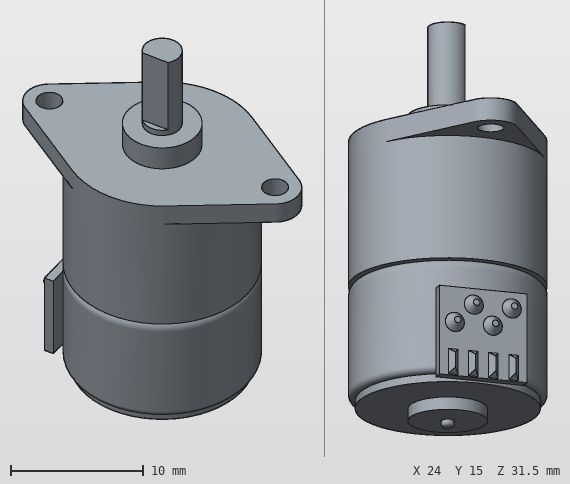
import cadquery as cq
import math


can_r = 7.5
boss_d = 6.02
boss_r = boss_d / 2
shaft_r = 1.5
end_ring_r = 7.0
nub_r = 0.5

shaft_top = 9.0
boss_top = 2.02
flat_bottom = 2.52
flat_offset = 1.0

gearbox_bottom = 11.4
can_bottom = 20.38
end_ring_bottom = 21.0
nub_bottom = 22.5
nub_height = 0.5
nub_radius = 0.25
rear_boss_bottom = nub_bottom - nub_height

groove_radius = 0.75
rear_radius = 0.47

flange_thickness = 1.75
ear_r = 2.02
flange_length = 24.0
ear_x = flange_length / 2 - ear_r
ear_hole_d = 2.02

board_width = 7.0
board_height = 7.0
board_thickness = 0.8
board_front_x = -can_r - board_thickness
board_bottom_z = -end_ring_bottom

cone_base_r = 0.75
cone_tip_r = 0.25
cone_height = 0.65
cone_pitch = 1.5
cone_row_height = 4.22
cone_row_z = board_bottom_z + cone_row_height
cone_count = 4

ridge_width = 0.75
ridge_length = 2.0
ridge_height = 0.57
ridge_hip = 0.4
ridge_pitch = 1.6
ridge_edge_gap = 0.1
ridge_bottom_z = board_bottom_z + ridge_edge_gap
ridge_count = 4


def centred_positions(count, pitch):
    """Evenly spaced positions, symmetric about zero."""
    return [(i - (count - 1) / 2) * pitch for i in range(count)]


def cylinder(radius, bottom, top):
    return cq.Workplane("XY").workplane(offset=bottom).circle(radius).extrude(top - bottom)


def make_flange():
    """Diamond plate: a central arc and two ear arcs joined by tangent lines."""
    tangent_sin = (can_r - ear_r) / ear_x
    tangent_cos = math.sqrt(1 - tangent_sin**2)
    mid_x = can_r * tangent_sin
    mid_y = can_r * tangent_cos
    end_x = ear_x + ear_r * tangent_sin
    end_y = ear_r * tangent_cos
    outline = (
        cq.Workplane("XY")
        .moveTo(-mid_x, mid_y)
        .threePointArc((0, can_r), (mid_x, mid_y))
        .lineTo(end_x, end_y)
        .threePointArc((flange_length / 2, 0), (end_x, -end_y))
        .lineTo(mid_x, -mid_y)
        .threePointArc((0, -can_r), (-mid_x, -mid_y))
        .lineTo(-end_x, -end_y)
        .threePointArc((-flange_length / 2, 0), (-end_x, end_y))
        .close()
    )
    plate = outline.extrude(-flange_thickness)
    holes = (
        cq.Workplane("XY")
        .pushPoints([(-ear_x, 0), (ear_x, 0)])
        .circle(ear_hole_d / 2)
        .extrude(-flange_thickness)
    )
    return plate.cut(holes)


def make_shaft():
    """Output shaft with a flat on its -Y side that stops above the boss."""
    flat_cut = (
        cq.Workplane("XY")
        .workplane(offset=flat_bottom)
        .center(0, -flat_offset - shaft_r / 2)
        .rect(2 * shaft_r, shaft_r)
        .extrude(shaft_top - flat_bottom)
    )
    return cylinder(shaft_r, 0, shaft_top).cut(flat_cut)


def make_rear_can():
    return (
        cylinder(can_r, -can_bottom, -gearbox_bottom)
        .faces(">Z").edges().fillet(groove_radius)
        .faces("<Z").edges().fillet(rear_radius)
    )


def make_nub():
    """Small stub with a rounded end at the rear of the axis."""
    return cylinder(nub_r, -nub_bottom, -rear_boss_bottom).faces("<Z").edges().fillet(nub_radius)


def make_motor():
    gearbox = cylinder(can_r, -gearbox_bottom, 0)
    front_boss = cylinder(boss_r, 0, boss_top)
    end_ring = cylinder(end_ring_r, -end_ring_bottom, -can_bottom)
    rear_boss = cylinder(boss_r, -rear_boss_bottom, -end_ring_bottom)
    return (
        gearbox
        .union(make_flange())
        .union(front_boss)
        .union(make_shaft())
        .union(make_rear_can())
        .union(end_ring)
        .union(rear_boss)
        .union(make_nub())
    )


def make_cone(y, z):
    """Truncated solder cone pointing to -X from the board face."""
    base = cq.Vector(board_front_x, y, z)
    return cq.Solid.makeCone(cone_base_r, cone_tip_r, cone_height, base, cq.Vector(-1, 0, 0))


def make_ridge(y):
    """Hipped ridge: a triangular bar trimmed to a trapezoid when seen along Y."""
    ridge_x = board_front_x - ridge_height
    ridge_top_z = ridge_bottom_z + ridge_length
    bar = (
        cq.Workplane("XY")
        .workplane(offset=ridge_bottom_z)
        .polyline([
            (board_front_x, y - ridge_width / 2),
            (board_front_x, y + ridge_width / 2),
            (ridge_x, y),
        ])
        .close()
        .extrude(ridge_length)
    )
    side_profile = (
        cq.Workplane("XZ", origin=(0, y, 0))
        .polyline([
            (board_front_x, ridge_bottom_z),
            (board_front_x, ridge_top_z),
            (ridge_x, ridge_top_z - ridge_hip),
            (ridge_x, ridge_bottom_z + ridge_hip),
        ])
        .close()
        .extrude(ridge_width / 2, both=True)
    )
    return bar.intersect(side_profile)


def make_terminal_board():
    """Flat board whose back touches the can along one line."""
    board = cq.Workplane("XY").box(
        board_thickness, board_width, board_height, centered=(False, True, False)
    ).translate((board_front_x, 0, board_bottom_z))
    for i, y in enumerate(centred_positions(cone_count, cone_pitch)):
        in_upper_row = i % 2 == 0
        z = cone_row_z + cone_pitch if in_upper_row else cone_row_z
        board = board.union(cq.Workplane(make_cone(y, z)))
    for y in centred_positions(ridge_count, ridge_pitch):
        board = board.union(make_ridge(y))
    return board


motor = make_motor()
terminal_board = make_terminal_board()

result = cq.Compound.makeCompound([motor.solids().val(), terminal_board.solids().val()])